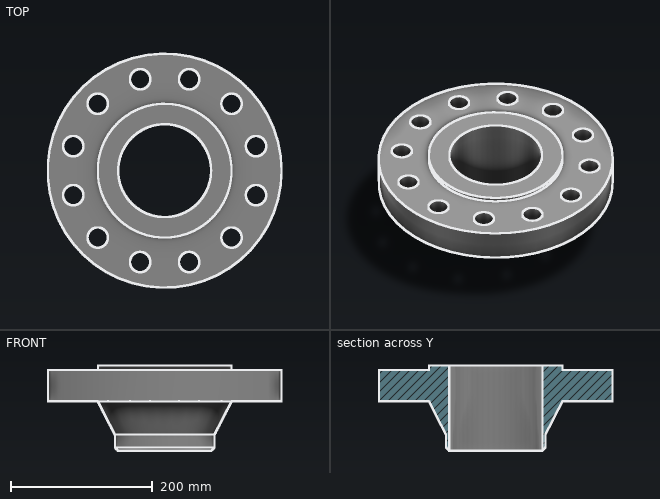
import cadquery as cq

flange_diameter = 330.2
flange_thickness = 44.5
face_diameter = 189.0
face_height = 6.3

total_height = 120.5
hub_diameter = face_diameter
neck_diameter = 140.7
taper_height = 47.0
bevel_height = 4.5
bevel_width = 4.5
bore_diameter = 130.8

bolt_count = 12
bolt_circle_diameter = 266.8
bolt_hole_diameter = 28.5
bolt_start_angle = 180.0 / bolt_count

plate_top = total_height - face_height
plate_bottom = plate_top - flange_thickness
taper_bottom = plate_bottom - taper_height


def revolved_body():
    """Revolve the half section of the flange, with its bore, about Z."""
    return (
        cq.Workplane("XZ")
        .moveTo(bore_diameter / 2, 0)
        .lineTo(neck_diameter / 2 - bevel_width, 0)
        .lineTo(neck_diameter / 2, bevel_height)
        .lineTo(neck_diameter / 2, taper_bottom)
        .lineTo(hub_diameter / 2, plate_bottom)
        .lineTo(flange_diameter / 2, plate_bottom)
        .lineTo(flange_diameter / 2, plate_top)
        .lineTo(face_diameter / 2, plate_top)
        .lineTo(face_diameter / 2, total_height)
        .lineTo(bore_diameter / 2, total_height)
        .close()
        .revolve(360, (0, 0, 0), (0, 1, 0))
    )


def bolt_holes():
    """Ring of cylinders passing through the flange plate."""
    return (
        cq.Workplane("XY", origin=(0, 0, plate_bottom))
        .polarArray(bolt_circle_diameter / 2, bolt_start_angle, 360, bolt_count)
        .circle(bolt_hole_diameter / 2)
        .extrude(flange_thickness)
    )


result = revolved_body().cut(bolt_holes())